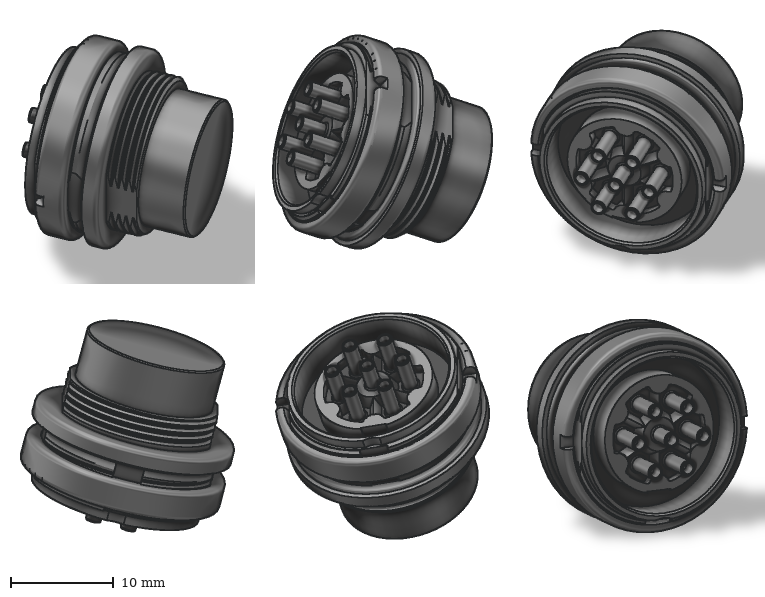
import cadquery as cq
import math


shell_front = 16.0
rear_rim_length = 1.0
rear_thread_end = 5.28
gasket_rear = 6.1
flange_rear = 6.45
flange_front = 8.05
front_thread_end = 11.2

rear_rim_radius = 8.4
rear_thread_radius = 9.0
relief_radius = 8.72
flange_radius = 20 / 2
gasket_radius = 9.52
gasket_fillet = 0.34
flange_fillet = 0.5
front_thread_radius = 8.0
front_thread_chamfer = 0.36
barrel_radius = 13.8 / 2
barrel_chamfer = 0.15

rear_flat_distance = rear_rim_radius
front_flat_distance = 7.4
keyway_half_width = 1.4
keyway_floor = 8.53
rim_scoop_radius = 2.0
rim_scoop_top = 8.17

thread_pitch = 0.75
root_flat = 0.13
groove_flank_angle = 30
groove_cutter_overshoot = 0.1
rear_root_radius = 8.65
rear_groove_start = 1.0
rear_groove_turns = 5.25
rear_groove_angle = 270
front_root_radius = 7.6
front_groove_start = 8.26
front_groove_turns = 4.5
front_groove_angle = 30

nut_rear = 1.5
nut_front = 4.5
nut_radius = 20 / 2
nut_fillet = 0.5
nut_bore_radius = 8.6
nut_mouth_radius = 18.3 / 2
nut_mouth_chamfer = 0.15
nut_lead_length = 0.7
nut_slot_width = 1.3
nut_slot_depth = 1.0

cavity_radius = 15.5 / 2
cavity_floor = 3.5
cavity_chamfer = 0.2
insert_face = 1.0
insert_radius = 5.9
key_notch_half_width = 1.25
key_notch_floor = 5.61
pocket_depth = 1.0
pocket_radius = 5.0
pocket_corner = 0.25
lobe_radius = 1.12
lobe_distance = 5.17
hub_top_radius = 1.7
hub_base_radius = 2.27
ridge_half_width = hub_base_radius - hub_top_radius
ridge_length = 4.6

outer_pin_count = 6
sector_angle = 360 / outer_pin_count
pin_circle_radius = 3.5
pin_radius = 1.5 / 2
pin_tip = -1.8
pin_tip_chamfer_length = 0.13
pin_tip_chamfer_width = 0.05
collar_radius = 1.82 / 2
collar_length = collar_radius - pin_radius
cup_radius = 1.1 / 2
cup_depth = 1.5
cup_point_angle = 118


def revolved(points):
    """Turn an (x, radius) outline around the X axis."""
    return cq.Workplane("XY").polyline(points).close().revolve(360, (0, 0, 0), (1, 0, 0))


def disc(x_start, x_end, radius):
    return cq.Workplane("YZ", origin=(x_start, 0, 0)).circle(radius).extrude(x_end - x_start)


def block(x_start, x_end, y_start, y_end, z_start, z_end):
    size = (x_end - x_start, y_end - y_start, z_end - z_start)
    return cq.Workplane("XY").box(*size, centered=False).translate((x_start, y_start, z_start))


def around_axis(shape, angle):
    return shape.rotate((0, 0, 0), (1, 0, 0), angle)


def both_flats(x_start, x_end, distance):
    """Material beyond the two flats that face +Y and -Y."""
    reach = flange_radius
    flat = block(x_start, x_end, distance, reach, -reach, reach)
    return flat.union(around_axis(flat, 180))


def thread_groove(x_start, turns, start_angle, root_radius, crest_radius):
    """Right-handed helical groove with flat root and sloping flanks."""
    cutter_radius = crest_radius + groove_cutter_overshoot
    root_half = root_flat / 2
    mouth_half = root_half + (cutter_radius - root_radius) * math.tan(math.radians(groove_flank_angle))
    helix = cq.Wire.makeHelix(thread_pitch, thread_pitch * turns, root_radius)
    profile = cq.Workplane("XZ").polyline([
        (root_radius, -root_half),
        (cutter_radius, -mouth_half),
        (cutter_radius, mouth_half),
        (root_radius, root_half),
    ]).close()
    groove = profile.sweep(cq.Workplane(helix), isFrenet=True)
    groove = groove.rotate((0, 0, 0), (1, 1, 1), 120)
    return around_axis(groove, start_angle).translate((x_start, 0, 0))


def make_rear_thread():
    body = revolved([
        (0, 0),
        (0, rear_rim_radius),
        (rear_rim_length, rear_rim_radius),
        (rear_rim_length, rear_thread_radius),
        (rear_thread_end, rear_thread_radius),
        (gasket_rear, relief_radius),
        (gasket_rear, 0),
    ])
    body = body.cut(thread_groove(
        rear_groove_start, rear_groove_turns, rear_groove_angle, rear_root_radius, rear_thread_radius))
    body = body.cut(both_flats(rear_rim_length, gasket_rear, rear_flat_distance))
    keyway = block(rear_rim_length, gasket_rear, -keyway_half_width, keyway_half_width,
                   -flange_radius, -keyway_floor)
    scoop = disc(0, rear_rim_length, rim_scoop_radius)
    scoop = scoop.translate((0, 0, -(rim_scoop_top + rim_scoop_radius)))
    return body.cut(keyway).cut(scoop)


def make_flange():
    """Flange with a rounded gasket on its rear face."""
    outline = cq.Workplane("XY").moveTo(gasket_rear, 0)
    outline = outline.lineTo(gasket_rear, gasket_radius - gasket_fillet)
    outline = outline.radiusArc((gasket_rear + gasket_fillet, gasket_radius), gasket_fillet)
    outline = outline.lineTo(flange_rear, gasket_radius).lineTo(flange_rear, 0).close()
    gasket = outline.revolve(360, (0, 0, 0), (1, 0, 0))
    flange = disc(flange_rear, flange_front, flange_radius).faces(">X").edges().fillet(flange_fillet)
    return gasket.union(flange)


def make_front_thread():
    body = disc(flange_rear, front_thread_end, front_thread_radius)
    body = body.cut(thread_groove(
        front_groove_start, front_groove_turns, front_groove_angle, front_root_radius, front_thread_radius))
    body = body.intersect(revolved([
        (flange_rear, 0),
        (flange_rear, flange_radius),
        (front_thread_end - front_thread_chamfer, flange_radius),
        (front_thread_end - front_thread_chamfer, front_thread_radius),
        (front_thread_end, front_thread_radius - front_thread_chamfer),
        (front_thread_end, 0),
    ]))
    return body.cut(both_flats(flange_rear, front_thread_end, front_flat_distance))


def make_barrel():
    barrel = disc(front_thread_end, shell_front, barrel_radius)
    return barrel.faces(">X").chamfer(barrel_chamfer)


def make_nut():
    nut = disc(nut_rear, nut_front, nut_radius).edges().fillet(nut_fillet)
    lead_start = nut_rear + nut_mouth_chamfer
    bore = revolved([
        (nut_rear, 0),
        (nut_rear, nut_mouth_radius),
        (lead_start, nut_mouth_radius - nut_mouth_chamfer),
        (lead_start + nut_lead_length, nut_bore_radius),
        (nut_front, nut_bore_radius),
        (nut_front, 0),
    ])
    slots = block(nut_rear, nut_rear + nut_slot_depth, -nut_radius, nut_radius,
                  -nut_slot_width / 2, nut_slot_width / 2)
    return nut.cut(bore).cut(slots)


def make_cavity():
    return revolved([
        (0, 0),
        (0, cavity_radius + cavity_chamfer),
        (cavity_chamfer, cavity_radius),
        (cavity_floor, cavity_radius),
        (cavity_floor, 0),
    ])


def make_ridge():
    """Roof-shaped ridge along +Y, its crest level with the insert face."""
    floor = insert_face + pocket_depth
    return cq.Workplane("XZ").polyline([
        (floor, -ridge_half_width),
        (insert_face, 0),
        (floor, ridge_half_width),
    ]).close().extrude(-ridge_length)


def make_insert():
    floor = insert_face + pocket_depth
    insert = disc(insert_face, cavity_floor, insert_radius)
    insert = insert.cut(block(insert_face, cavity_floor, -key_notch_half_width, key_notch_half_width,
                              -insert_radius, -key_notch_floor))
    ridge_angles = [sector_angle * (index + 0.5) for index in range(outer_pin_count)]

    pocket = disc(insert_face, floor, pocket_radius)
    lobe = disc(insert_face, floor, lobe_radius).translate((0, lobe_distance, 0))
    for angle in ridge_angles:
        pocket = pocket.cut(around_axis(lobe, angle))
    insert = insert.cut(pocket.edges("|X").fillet(pocket_corner))

    hub = revolved([
        (insert_face, 0),
        (insert_face, hub_top_radius),
        (floor, hub_base_radius),
        (floor, 0),
    ])
    insert = insert.union(hub)
    for angle in ridge_angles:
        insert = insert.union(around_axis(make_ridge(), angle))
    return insert


def make_pin(seat):
    """Solder-cup pin on the X axis with a conical collar on its seat; its root ends at the cavity floor."""
    cup_end = pin_tip + cup_depth
    cup_point = cup_end + cup_radius / math.tan(math.radians(cup_point_angle / 2))
    return revolved([
        (pin_tip, cup_radius),
        (pin_tip, pin_radius - pin_tip_chamfer_width),
        (pin_tip + pin_tip_chamfer_length, pin_radius),
        (seat - collar_length, pin_radius),
        (seat, collar_radius),
        (cavity_floor, collar_radius),
        (cavity_floor, 0),
        (cup_point, 0),
        (cup_end, cup_radius),
    ])


shell = make_rear_thread().cut(make_cavity())
shell = shell.union(make_flange()).union(make_front_thread()).union(make_barrel())
shell = shell.union(make_nut()).union(make_insert())

shell = shell.union(make_pin(insert_face))
outer_pin = make_pin(insert_face + pocket_depth).translate((0, pin_circle_radius, 0))
for pin_index in range(outer_pin_count):
    shell = shell.union(around_axis(outer_pin, sector_angle * pin_index))

result = shell